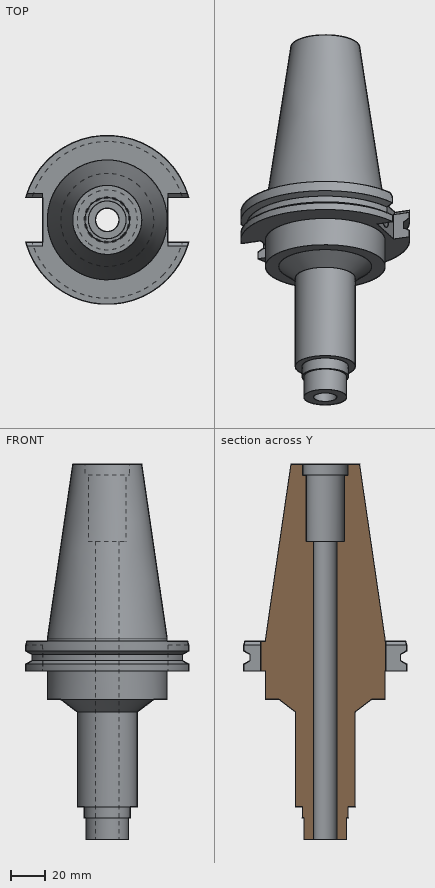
import cadquery as cq
import math

TAPER_LENGTH = 101.6
GAUGE_DIAMETER = 69.85
TAPER_RATIO = 7 / 24
SMALL_END_DIAMETER = GAUGE_DIAMETER - TAPER_RATIO * TAPER_LENGTH

FLANGE_DIAMETER = 98.42
FLANGE_TOP = -1.5
FLANGE_BOTTOM = -19.05

GROOVE_CENTRE = -11.1
GROOVE_DEPTH = 3.5
GROOVE_FLOOR_WIDTH = 3.6
GROOVE_FLANK_ANGLE = 30.0
GROOVE_MOUTH_WIDTH = GROOVE_FLOOR_WIDTH + 2 * GROOVE_DEPTH * math.tan(math.radians(GROOVE_FLANK_ANGLE))

BODY_DIAMETER = GAUGE_DIAMETER
BODY_BOTTOM = -35.5
CONE_TOP_DIAMETER = 54.2
SHANK_TOP = -42.8
SHANK_DIAMETER = 35.0
SHANK_BOTTOM = -98.0
COLLAR_DIAMETER = 27.0
COLLAR_BOTTOM = -104.5
TIP_DIAMETER = 25.0
TOTAL_LENGTH = 218.8
TIP_BOTTOM = TAPER_LENGTH - TOTAL_LENGTH

COUNTERBORE_DIAMETER = 26.0
COUNTERBORE_DEPTH = 6.4
DRAWBAR_BORE_DIAMETER = 22.0
DRAWBAR_BORE_DEPTH = 45.0
THROUGH_BORE_DIAMETER = 13.5

SLOT_WIDTH = 25.9
SLOT_CHAMFER = 2.3
LEFT_SLOT_FLOOR = 37.7
RIGHT_SLOT_FLOOR = 35.3

RECESS_DIAMETER = 10.0
RECESS_DEPTH = 0.2


def make_turned_body():
    """Revolve the outer profile, groove included, about Z."""
    flange_radius = FLANGE_DIAMETER / 2
    groove_radius = flange_radius - GROOVE_DEPTH
    half_mouth = GROOVE_MOUTH_WIDTH / 2
    half_floor = GROOVE_FLOOR_WIDTH / 2
    profile = [
        (0, TAPER_LENGTH),
        (SMALL_END_DIAMETER / 2, TAPER_LENGTH),
        (GAUGE_DIAMETER / 2, 0),
        (GAUGE_DIAMETER / 2, FLANGE_TOP),
        (flange_radius, FLANGE_TOP),
        (flange_radius, GROOVE_CENTRE + half_mouth),
        (groove_radius, GROOVE_CENTRE + half_floor),
        (groove_radius, GROOVE_CENTRE - half_floor),
        (flange_radius, GROOVE_CENTRE - half_mouth),
        (flange_radius, FLANGE_BOTTOM),
        (BODY_DIAMETER / 2, FLANGE_BOTTOM),
        (BODY_DIAMETER / 2, BODY_BOTTOM),
        (CONE_TOP_DIAMETER / 2, BODY_BOTTOM),
        (SHANK_DIAMETER / 2, SHANK_TOP),
        (SHANK_DIAMETER / 2, SHANK_BOTTOM),
        (COLLAR_DIAMETER / 2, SHANK_BOTTOM),
        (COLLAR_DIAMETER / 2, COLLAR_BOTTOM),
        (TIP_DIAMETER / 2, COLLAR_BOTTOM),
        (TIP_DIAMETER / 2, TIP_BOTTOM),
        (0, TIP_BOTTOM),
    ]
    return cq.Workplane("XZ").polyline(profile).close().revolve(360, (0, 0), (0, 1))


def make_stepped_bore():
    """Counterbore, drawbar bore and through hole, all open at the small end."""
    steps = [
        (COUNTERBORE_DIAMETER, COUNTERBORE_DEPTH),
        (DRAWBAR_BORE_DIAMETER, DRAWBAR_BORE_DEPTH),
        (THROUGH_BORE_DIAMETER, TOTAL_LENGTH),
    ]
    bore = cq.Workplane("XY")
    for diameter, depth in steps:
        step = cq.Workplane("XY", origin=(0, 0, TAPER_LENGTH)).circle(diameter / 2).extrude(-depth)
        bore = bore.add(step)
    return bore.combine()


def make_drive_slot(floor_distance, side):
    """Slot through the flange with chamfered top edges; side is -1 or +1 along X."""
    half_width = SLOT_WIDTH / 2
    half_mouth = half_width + SLOT_CHAMFER
    section = [
        (-half_width, FLANGE_BOTTOM),
        (half_width, FLANGE_BOTTOM),
        (half_width, FLANGE_TOP - SLOT_CHAMFER),
        (half_mouth, FLANGE_TOP),
        (-half_mouth, FLANGE_TOP),
        (-half_width, FLANGE_TOP - SLOT_CHAMFER),
    ]
    plane = cq.Workplane("YZ", origin=(side * floor_distance, 0, 0))
    return plane.polyline(section).close().extrude(side * FLANGE_DIAMETER / 2)


def make_slot_recess():
    """Shallow round recess centred on the groove in the -X slot floor."""
    plane = cq.Workplane("YZ", origin=(-LEFT_SLOT_FLOOR, 0, GROOVE_CENTRE))
    return plane.circle(RECESS_DIAMETER / 2).extrude(RECESS_DEPTH)


result = (
    make_turned_body()
    .cut(make_stepped_bore())
    .cut(make_drive_slot(LEFT_SLOT_FLOOR, -1))
    .cut(make_drive_slot(RIGHT_SLOT_FLOOR, 1))
    .cut(make_slot_recess())
)